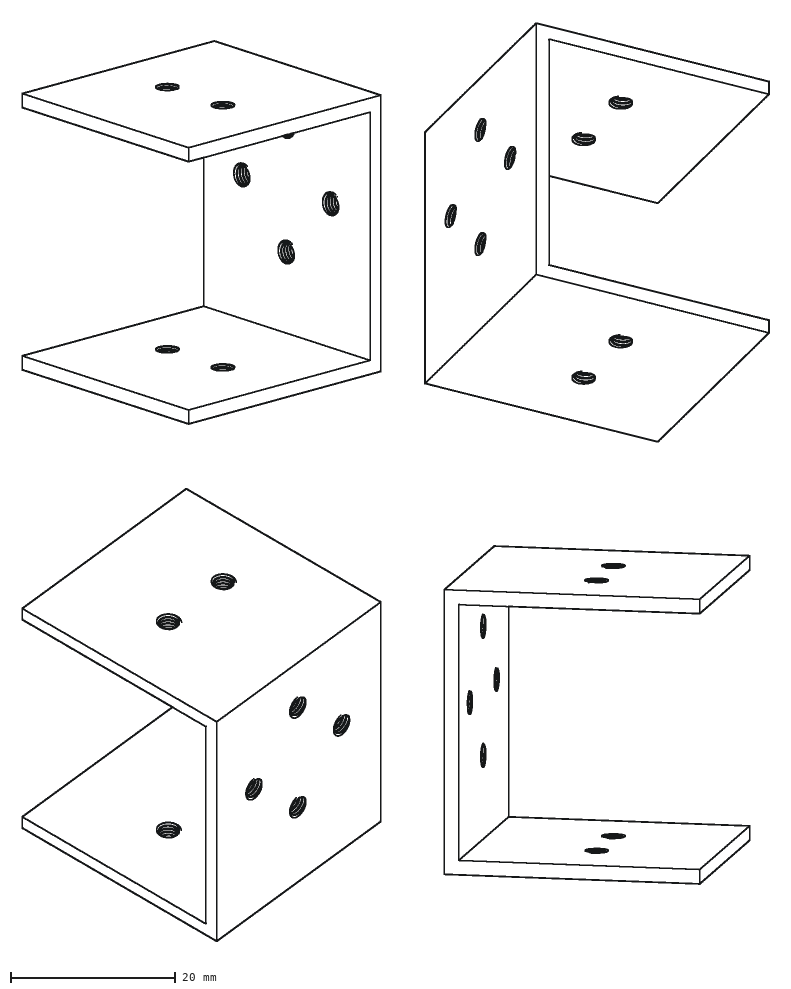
import cadquery as cq
import math

width = 30.0
depth = 31.75
height = 35.25
wall = 1.8

minor_diameter = 2.55
major_diameter = 3.1
pitch = 0.5
groove_mouth = 0.75 * pitch
groove_root = 0.125 * pitch
groove_overlap = 0.05
flange_hole_spacing = 10.0
flange_hole_setback = 15.0
web_pattern_radius = 8.0
web_pattern_rise = 2.43
flange_thread_start = 325
web_thread_start = 250


def make_channel():
    outer = cq.Workplane("XY").box(width, depth, height)
    gap = cq.Workplane("XY").box(width, depth, height - 2 * wall).translate((0, -wall, 0))
    return outer.cut(gap)


def make_thread_plug():
    """Space inside one tapped hole: a right-hand thread as long as the wall is thick."""
    minor_radius = minor_diameter / 2
    major_radius = major_diameter / 2
    inner_radius = minor_radius - groove_overlap
    flank_slope = (groove_mouth - groove_root) / (major_diameter - minor_diameter)
    inner_half = groove_mouth / 2 + flank_slope * groove_overlap
    root_half = groove_root / 2
    helix = cq.Wire.makeHelix(pitch, pitch, minor_radius)
    turn = (
        cq.Workplane("XZ")
        .polyline([
            (inner_radius, -inner_half),
            (major_radius, -root_half),
            (major_radius, root_half),
            (inner_radius, inner_half),
        ])
        .close()
        .sweep(cq.Workplane(obj=helix), isFrenet=True)
    )
    turn_count = math.ceil(wall / pitch) + 2
    bottom = -turn_count * pitch / 2
    blank = cq.Workplane("XY").circle(major_diameter).extrude(wall / 2, both=True)
    tapped = blank.cut(cq.Workplane("XY").circle(minor_radius).extrude(wall, both=True))
    for i in range(turn_count):
        tapped = tapped.cut(turn.translate((0, 0, bottom + i * pitch)))
    return blank.cut(tapped)


def cut_flange_holes(body, plug):
    turned = plug.rotate((0, 0, 0), (0, 0, 1), flange_thread_start)
    y = flange_hole_setback - depth / 2
    flange_middle = (height - wall) / 2
    for x in (-flange_hole_spacing / 2, flange_hole_spacing / 2):
        for z in (-flange_middle, flange_middle):
            body = body.cut(turned.translate((x, y, z)))
    return body


def cut_web_holes(body, plug):
    turned = plug.rotate((0, 0, 0), (0, 0, 1), web_thread_start)
    turned = turned.rotate((0, 0, 0), (1, 0, 0), 90)
    y = (depth - wall) / 2
    for across, up in ((1, 0), (0, 1), (-1, 0), (0, -1)):
        x = across * web_pattern_radius
        z = web_pattern_rise + up * web_pattern_radius
        body = body.cut(turned.translate((x, y, z)))
    return body


thread_plug = make_thread_plug()
result = make_channel()
result = cut_flange_holes(result, thread_plug)
result = cut_web_holes(result, thread_plug)